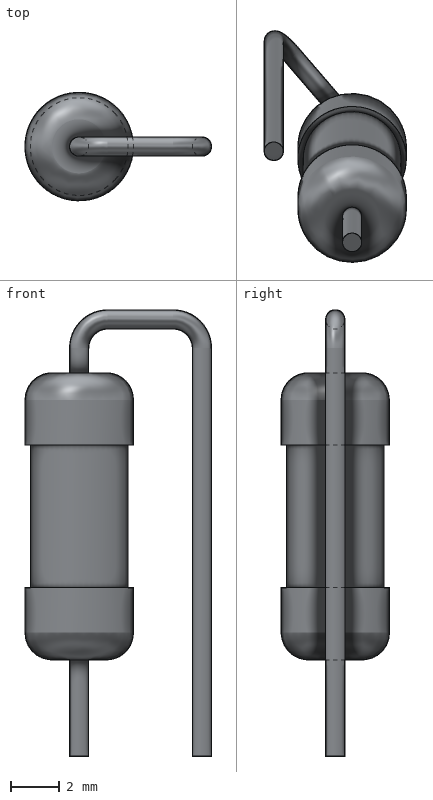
import cadquery as cq

total_height = 18.5
wire_diameter = 0.8
lead_pitch = 5.09
bend_radius = 1.5 * wire_diameter

body_bottom = 4.0
body_length = 11.9
cap_diameter = 4.5
cap_length = 3.0
cap_rounding = 1.13
core_diameter = 4.05

body_top = body_bottom + body_length
wire_top = total_height - wire_diameter / 2
bend_start = wire_top - bend_radius


def cylinder(diameter, bottom, length):
    return cq.Workplane("XY").workplane(offset=bottom).circle(diameter / 2).extrude(length)


def make_body():
    lower_cap = cylinder(cap_diameter, body_bottom, cap_length)
    lower_cap = lower_cap.faces("<Z").edges().fillet(cap_rounding)
    upper_cap = cylinder(cap_diameter, body_top - cap_length, cap_length)
    upper_cap = upper_cap.faces(">Z").edges().fillet(cap_rounding)
    core = cylinder(core_diameter, body_bottom + cap_rounding, body_length - 2 * cap_rounding)
    return core.union(lower_cap).union(upper_cap)


def make_wire():
    """Straight lead through the body, bent over and returned down beside it."""
    path = (
        cq.Workplane("XZ")
        .lineTo(0, bend_start)
        .radiusArc((bend_radius, wire_top), bend_radius)
        .lineTo(lead_pitch - bend_radius, wire_top)
        .radiusArc((lead_pitch, bend_start), bend_radius)
        .lineTo(lead_pitch, 0)
    )
    return cq.Workplane("XY").circle(wire_diameter / 2).sweep(path)


result = make_body().union(make_wire())